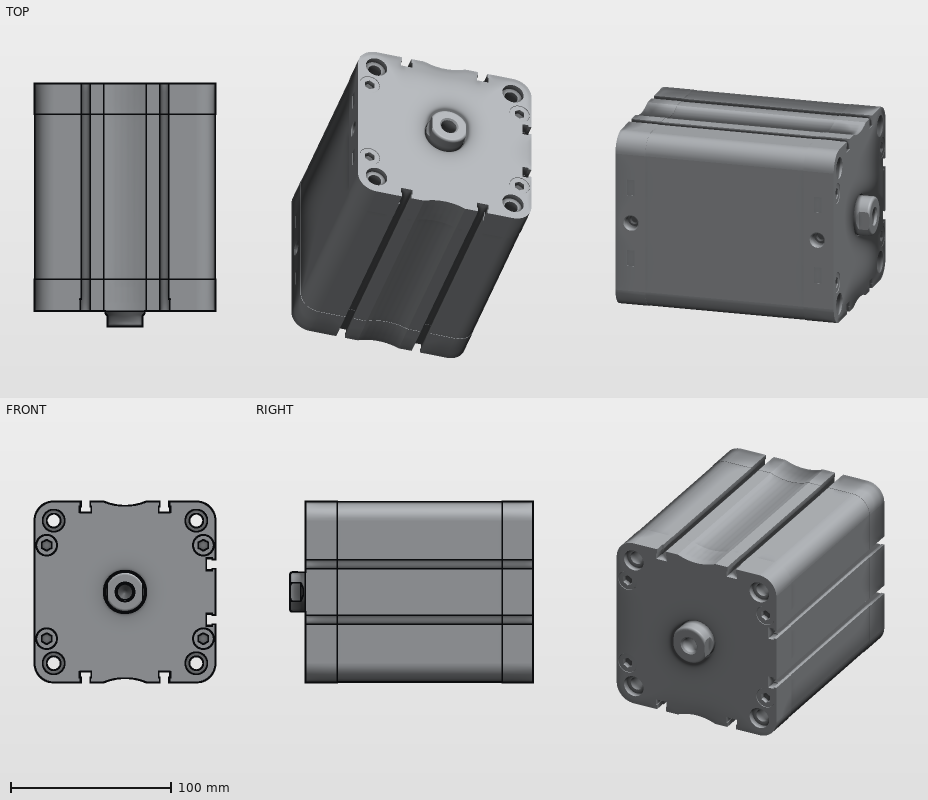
import cadquery as cq
import math


total_length = 152.0
housing_width = 113.2
rod_projection = 9.7
housing_length = total_length - rod_projection
front_cap_length = 19.8
rear_cap_length = 19.5
barrel_length = housing_length - front_cap_length - rear_cap_length
barrel_inset = 0.23
half_width = housing_width / 2
corner_radius = 12.0
scallop_half_width = 13.4
scallop_depth = 2.7

slot_mouth = 5.6
slot_channel = 6.8
top_slot_offset = 24.6
top_slot_depth = 6.8
top_slot_lip = 3.0
side_slot_offset = 17.3
side_slot_depth = 5.8
side_slot_lip = 2.0
slot_entry_length = 7.5
slot_entry_relief = 0.53

mount_offset = 44.5
mount_hole_diameter = 8.5
mount_counterbore_diameter = 13.8
mount_counterbore_depth = 4.0

screw_x = 49.0
screw_z = 29.2
screw_recess_diameter = 13.0
screw_head_diameter = 12.8
screw_recess_depth = 6.1
screw_head_setback = 0.3
screw_hex_across_flats = 6.1
screw_hex_depth = 3.8

rod_diameter = 25.0
rod_end_radius = 1.8
rod_flat_width = 22.0
rod_flat_start = 3.0
rod_flat_run_out = 1.8
rod_bore_diameter = 25.5
rod_bore_mouth_diameter = 26.8
rod_bore_depth = 3.0
thread_diameter = 10.0
thread_mouth_diameter = 12.0
thread_depth = 24.3
drill_tip_angle = 118.0

front_port_y = 10.6
rear_port_y = housing_length - 10.2
port_mouth_diameter = 10.0
port_thread_diameter = 8.5
port_thread_depth = 7.6
port_drill_diameter = 6.0
port_drill_depth = 10.6
front_label_y = 10.3
rear_label_y = housing_length - 9.9
label_z = 23.1
label_length = 10.3
label_width = 5.0
label_depth = 0.3


def front_plane(y):
    """Workplane across the cylinder axis at the given Y; negative extrusions run toward +Y."""
    return cq.Workplane("XZ", origin=(0, y, 0))


def cylinder_y(x, z, diameter, start, length):
    """Cylinder along +Y."""
    return front_plane(start).center(x, z).circle(diameter / 2).extrude(-length)


def revolve_profile(points):
    """Turn (radius, distance) points about the Z axis."""
    return cq.Workplane("XZ").polyline(points).close().revolve(360, (0, 0, 0), (0, 1, 0))


def trough(start, length, face, depth, lip, width):
    """Box along Y centred on X = 0, reaching from the slot floor to the lip distance below Z = face."""
    height = depth - lip
    block = cq.Workplane("XY").box(width, length, height, centered=(True, False, False))
    return block.translate((0, start, face - depth))


def slot_cut(start, length, face, depth, lip, channel_width):
    """T-slot along Y, open at Z = face and centred on X = 0."""
    mouth = trough(start, length, face, depth, 0, slot_mouth)
    return mouth.union(trough(start, length, face, depth, lip, channel_width))


def top_slots(start, length, inset, shift):
    """Slots in the +Z and -Z faces, moved outward by the shift."""
    slot = slot_cut(start, length, half_width - inset, top_slot_depth, top_slot_lip, slot_channel)
    right = slot.translate((top_slot_offset + shift, 0, 0))
    pair = right.union(right.mirror("YZ"))
    return pair.union(pair.mirror("XY"))


def side_slots(start, length, inset, channel_width):
    """Slots in the +X face."""
    slot = slot_cut(start, length, half_width - inset, side_slot_depth, side_slot_lip, channel_width)
    upper = slot.rotate((0, 0, 0), (0, 1, 0), 90).translate((0, 0, side_slot_offset))
    return upper.union(upper.mirror("XY"))


def housing_section(start, length, inset):
    """Length of the housing outline between two Y positions, with every outer face moved in by the inset."""
    edge = half_width - inset
    section = (
        front_plane(start)
        .rect(2 * edge, 2 * edge)
        .extrude(-length)
        .edges("|Y")
        .fillet(corner_radius - inset)
    )
    scallop = (
        front_plane(start)
        .moveTo(-scallop_half_width, edge)
        .threePointArc((0, edge - scallop_depth), (scallop_half_width, edge))
        .close()
        .extrude(-length)
    )
    section = section.cut(scallop).cut(scallop.mirror("XY"))
    return section.cut(top_slots(start, length, inset, 0)).cut(side_slots(start, length, inset, slot_channel))


def housing_block():
    """Barrel between two slightly larger end caps."""
    front_cap = housing_section(0, front_cap_length, 0)
    barrel = housing_section(front_cap_length, barrel_length, barrel_inset)
    rear_cap = housing_section(front_cap_length + barrel_length, rear_cap_length, 0)

    entry_channel = slot_channel + 2 * slot_entry_relief
    front_cap = front_cap.cut(top_slots(0, slot_entry_length, 0, slot_entry_relief))
    front_cap = front_cap.cut(side_slots(0, slot_entry_length, 0, entry_channel))

    return front_cap.union(barrel).union(rear_cap)


def mounting_hole(x, z):
    hole = cylinder_y(x, z, mount_hole_diameter, 0, housing_length)
    return hole.union(cylinder_y(x, z, mount_counterbore_diameter, 0, mount_counterbore_depth))


def screw_recess(x, z):
    """Ring gap around a sunk screw head, plus the hexagon socket in the head."""
    recess = cylinder_y(x, z, screw_recess_diameter, 0, screw_recess_depth)
    head = cylinder_y(x, z, screw_head_diameter, screw_head_setback, screw_recess_depth - screw_head_setback)
    across_corners = screw_hex_across_flats / math.cos(math.radians(30))
    socket = (
        front_plane(0)
        .center(x, z)
        .transformed(rotate=(0, 0, 30))
        .polygon(6, across_corners)
        .extrude(-screw_hex_depth)
    )
    return recess.cut(head).union(socket)


def rod_bore():
    radius = rod_bore_diameter / 2
    mouth_radius = rod_bore_mouth_diameter / 2
    bore = revolve_profile(
        [
            (0, 0),
            (mouth_radius, 0),
            (radius, mouth_radius - radius),
            (radius, rod_bore_depth),
            (0, rod_bore_depth),
        ]
    )
    return bore.rotate((0, 0, 0), (1, 0, 0), -90)


def piston_rod():
    rod = cylinder_y(0, 0, rod_diameter, -rod_projection, rod_projection + rod_bore_depth)
    rod = rod.faces("<Y").fillet(rod_end_radius)

    flat_x = rod_flat_width / 2
    outer_x = rod_diameter / 2
    flat = (
        cq.Workplane("XY")
        .polyline(
            [
                (flat_x, -rod_projection),
                (flat_x, -rod_flat_start),
                (outer_x, -rod_flat_start + rod_flat_run_out),
                (outer_x, -rod_projection),
            ]
        )
        .close()
        .extrude(rod_diameter, both=True)
    )
    return rod.cut(flat).cut(flat.mirror("YZ"))


def rod_thread():
    radius = thread_diameter / 2
    mouth_radius = thread_mouth_diameter / 2
    tip_height = radius / math.tan(math.radians(drill_tip_angle / 2))
    drill = revolve_profile(
        [
            (0, 0),
            (mouth_radius, 0),
            (radius, mouth_radius - radius),
            (radius, thread_depth),
            (0, thread_depth + tip_height),
        ]
    )
    return drill.rotate((0, 0, 0), (1, 0, 0), -90).translate((0, -rod_projection, 0))


def air_port(y):
    mouth_radius = port_mouth_diameter / 2
    thread_radius = port_thread_diameter / 2
    drill_radius = port_drill_diameter / 2
    drill = revolve_profile(
        [
            (0, 0),
            (mouth_radius, 0),
            (thread_radius, mouth_radius - thread_radius),
            (thread_radius, port_thread_depth),
            (drill_radius, port_thread_depth),
            (drill_radius, port_drill_depth),
            (0, port_drill_depth),
        ]
    )
    return drill.rotate((0, 0, 0), (0, 1, 0), 90).translate((-half_width, y, 0))


def label_recess(y, z):
    return cq.Workplane("XY").box(2 * label_depth, label_width, label_length).translate((-half_width, y, z))


housing = housing_block()
for side_x in (1, -1):
    for side_z in (1, -1):
        housing = housing.cut(mounting_hole(side_x * mount_offset, side_z * mount_offset))
        housing = housing.cut(screw_recess(side_x * screw_x, side_z * screw_z))
for port_y in (front_port_y, rear_port_y):
    housing = housing.cut(air_port(port_y))
for label_y in (front_label_y, rear_label_y):
    for side_z in (1, -1):
        housing = housing.cut(label_recess(label_y, side_z * label_z))

result = housing.cut(rod_bore()).union(piston_rod()).cut(rod_thread())